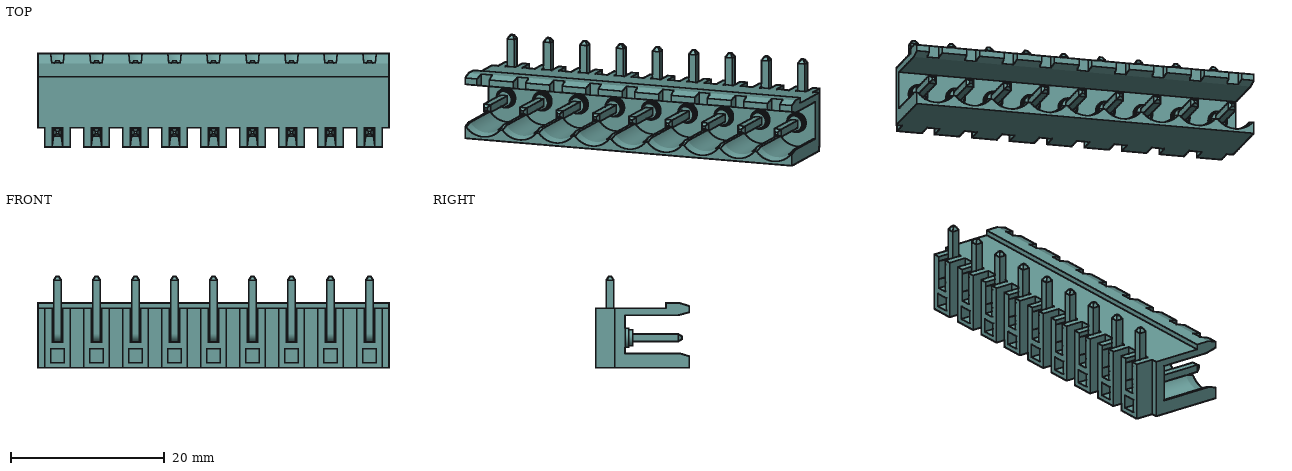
import cadquery as cq
import math

contact_count = 9
pitch = 5.08
housing_length = contact_count * pitch

housing_depth = 12.2
housing_height = 7.78
column_depth = 2.5
column_width = 3.36
cavity_front = 3.84
cavity_floor = 1.9
cavity_roof = 6.83

floor_end_height = 1.52
floor_taper_length = 1.25
roof_end_bottom = 7.22
roof_taper_length = 1.5
lip_height = 8.47
lip_end_top = 8.05
lip_length = 3.05
lip_taper_length = 1.3
notch_mouth_width = 1.75
notch_inner_width = 1.5
notch_depth = 1.25

channel_radius = 2.8
channel_axis_height = 3.5
channel_mouth_radius = 3.1

slot_width = 1.4
slot_bottom = 3.33
rib_bottom = 4.6
rib_top = 7.16
window_size = 1.8
window_bottom = 0.67

pin_size = 1.0
pin_leg_gap = 0.12
pin_axis_height = 3.92
pin_top = 11.9
pin_end = 11.25
tip_length = 0.5
tip_size = 0.35
collar_diameter = 2.5
collar_base_length = 0.5
collar_nose_diameter = 2.1
collar_nose_length = 0.5


def contact_positions():
    first = -(contact_count - 1) * pitch / 2
    return [first + i * pitch for i in range(contact_count)]


def block(x_center, width, y_start, y_end, z_start, z_end):
    """Box centred in X between the given Y and Z limits."""
    size_y = y_end - y_start
    size_z = z_end - z_start
    corner = (x_center - width / 2, y_start, z_start)
    return cq.Workplane("XY").box(width, size_y, size_z, centered=False).translate(corner)


def make_shell():
    """C-shaped housing body, open at both ends, with a raised latching lip."""
    profile = [
        (column_depth, 0),
        (housing_depth, 0),
        (housing_depth, floor_end_height),
        (housing_depth - floor_taper_length, cavity_floor),
        (cavity_front, cavity_floor),
        (cavity_front, cavity_roof),
        (housing_depth - roof_taper_length, cavity_roof),
        (housing_depth, roof_end_bottom),
        (housing_depth, lip_end_top),
        (housing_depth - lip_taper_length, lip_height),
        (housing_depth - lip_length, lip_height),
        (housing_depth - lip_length, housing_height),
        (column_depth, housing_height),
    ]
    return cq.Workplane("YZ").polyline(profile).close().extrude(housing_length / 2, both=True)


def make_column(x):
    """Front column with a pin slot and a square window below it."""
    column = block(x, column_width, 0, column_depth, 0, housing_height)
    slot = block(x, slot_width, 0, column_depth, slot_bottom, housing_height)
    window = block(x, window_size, 0, column_depth, window_bottom, window_bottom + window_size)
    return column.cut(slot).cut(window)


def make_clamp_ribs(x):
    """Pair of ribs in the slot that narrow it from its full width at the front to the pin leg."""
    pin_front = column_depth - pin_leg_gap - pin_size
    outline = [
        (slot_width / 2, 0),
        (pin_size / 2, pin_front),
        (pin_size / 2, column_depth),
        (slot_width / 2, column_depth),
    ]
    rib = cq.Workplane("XY").workplane(offset=rib_bottom).polyline(outline).close()
    rib = rib.extrude(rib_top - rib_bottom)
    return rib.union(rib.mirror("YZ")).translate((x, 0, 0))


def make_lip_notch(x):
    """Tapered notch through the free end of the lip."""
    inner = housing_depth - notch_depth
    outline = [
        (x - notch_mouth_width / 2, housing_depth),
        (x - notch_inner_width / 2, inner),
        (x + notch_inner_width / 2, inner),
        (x + notch_mouth_width / 2, housing_depth),
    ]
    notch = cq.Workplane("XY").workplane(offset=cavity_roof).polyline(outline).close()
    return notch.extrude(lip_height - cavity_roof)


def make_channel(x):
    """Round channel with a flared mouth; only its part below the axis cuts the housing."""
    taper_start = housing_depth - floor_taper_length
    half_profile = [
        (0, cavity_front),
        (channel_radius, cavity_front),
        (channel_radius, taper_start),
        (channel_mouth_radius, housing_depth),
        (0, housing_depth),
    ]
    channel = cq.Workplane("XY").polyline(half_profile).close().revolve(360, (0, 0, 0), (0, 1, 0))
    channel = channel.translate((x, 0, channel_axis_height))
    lower_half = block(x, pitch, cavity_front, housing_depth, 0, channel_axis_height)
    return channel.intersect(lower_half)


def make_tip(plane):
    """Truncated pyramid that closes a pin end."""
    return plane.rect(pin_size, pin_size).workplane(offset=tip_length).rect(tip_size, tip_size).loft()


def make_pin(x):
    """L-shaped pin: vertical in the column slot, then horizontal into the cavity."""
    back = column_depth - pin_leg_gap
    front = back - pin_size
    bottom = pin_axis_height - pin_size / 2
    bend_top = bottom + pin_size
    bend_offset = pin_size * math.sqrt(0.5)
    arc_middle = (back - bend_offset, bend_top - bend_offset)
    pin = (
        cq.Workplane("YZ")
        .moveTo(back, bottom)
        .lineTo(pin_end - tip_length, bottom)
        .lineTo(pin_end - tip_length, bend_top)
        .lineTo(back, bend_top)
        .lineTo(back, pin_top - tip_length)
        .lineTo(front, pin_top - tip_length)
        .lineTo(front, bend_top)
        .threePointArc(arc_middle, (back, bottom))
        .close()
        .extrude(pin_size / 2, both=True)
    )
    top_plane = cq.Workplane("XY", origin=(0, (front + back) / 2, pin_top - tip_length))
    end_plane = cq.Workplane(
        cq.Plane(origin=(0, pin_end - tip_length, pin_axis_height), xDir=(1, 0, 0), normal=(0, 1, 0))
    )
    top_tip = make_tip(top_plane)
    end_tip = make_tip(end_plane)
    return pin.union(top_tip).union(end_tip).translate((x, 0, 0))


def make_collar(x):
    """Stepped round collar where the pin enters the cavity."""
    plane = cq.Plane(origin=(x, cavity_front, pin_axis_height), xDir=(1, 0, 0), normal=(0, 1, 0))
    nose = cq.Workplane(plane).circle(collar_nose_diameter / 2)
    nose = nose.extrude(collar_base_length + collar_nose_length)
    return cq.Workplane(plane).circle(collar_diameter / 2).extrude(collar_base_length).union(nose)


result = make_shell()
for position in contact_positions():
    result = result.cut(make_channel(position)).cut(make_lip_notch(position))
    result = result.union(make_column(position)).union(make_clamp_ribs(position))
    result = result.union(make_pin(position)).union(make_collar(position))